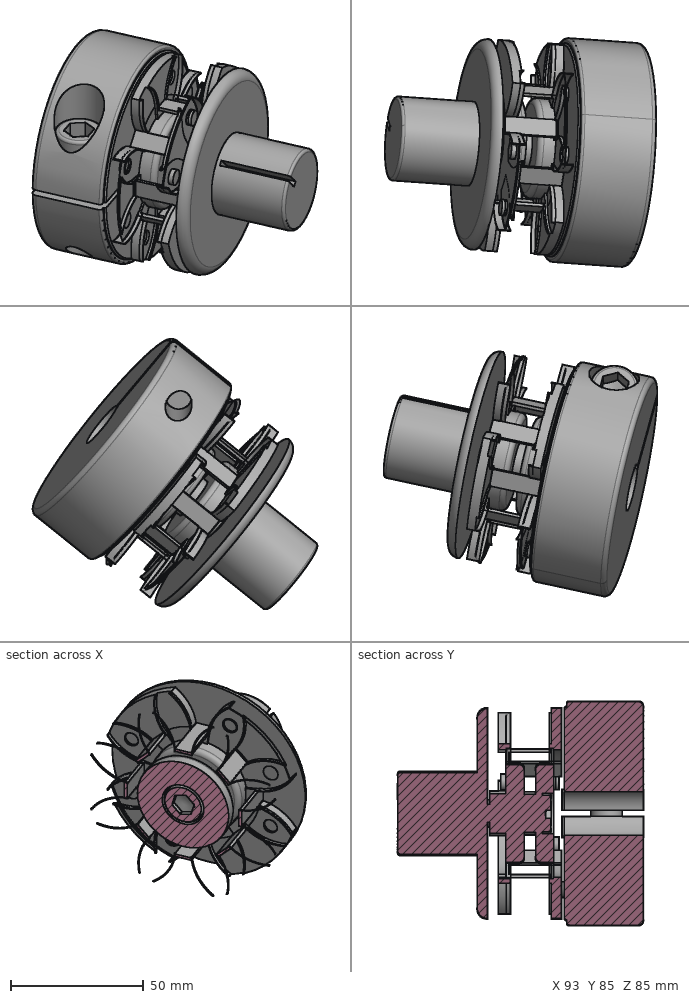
import cadquery as cq
import math


body_radius = 42.5
body_end = 29.1
front_round = 1.95
rear_round = 1.0
step_radius = 40.55
step_end = 30.0
step_chamfer = 0.65
collar_diameter = 18.4
collar_end = 30.9
bore_diameter = 18.0
slit_width = 2.3

clamp_x = 13.95
clamp_y = -28.8
clamp_head_diameter = 18.0
clamp_head_height = 12.0
clamp_head_top = 23.25
clamp_head_round = 1.2
clamp_pocket_diameter = 19.0
clamp_shank_diameter = 12.0
clamp_shank_depth = 12.1
clamp_thread_diameter = 10.0
clamp_hex = 10.0
clamp_hex_depth = 6.0

mid_x = 43.0
disc_radius = 40.0
jaw_start = 31.0
sheet_start = 33.85
sheet_end = 35.0
pad_end = 35.7
rim_bevel = 1.8
fan_half_angle = 27.4
fan_side_radius = 20.0
pillar_radius = 24.4
pillar_width = 6.8
pillar_thickness = 1.3
pillar_end = 50.7
stage_turn = -45
rivet_diameter = 6.0
rivet_circle = 31.2
rivet_start = 31.9
rivet_angle = 22.5
pad_hole_angle = 67.5
pad_hole_diameter = 5.6
pad_floor = 34.1
lip_thickness = 0.5
pad_hole_depth = 0.9
pad_inner_radius = 23.25
fan_pocket_depth = 0.65
fan_pocket_radius = 38.6

spool_radius = 19.0
spool_end = 40.9
spool_round = 2.1
sleeve_diameter = 16.5
socket_diameter = 17.0
socket_depth = 4.3

centre_head_diameter = 16.0
centre_head_round = 1.1
centre_hex = 8.0
centre_hex_depth = 1.9
centre_hex_turn = 15

boss_diameter = 17.0
boss_end = 58.2
neck_diameter = 10.4
flange_start = 59.0
flange_end = 63.0
flange_round = 3.9
plug_diameter = 32.0
plug_end = 93.0
plug_round = 1.1
plug_slot_start = 64.6
plug_slot_width = 2.0
plug_slot_floor_radius = 8.5

corner_far = (pillar_radius + pillar_width / 2) / math.sqrt(2)
corner_near = (pillar_radius - pillar_width / 2) / math.sqrt(2)


def x_cylinder(diameter, start, end):
    return cq.Workplane("YZ", origin=(start, 0, 0)).circle(diameter / 2).extrude(end - start)


def turn(shape, angle):
    return shape.rotate((0, 0, 0), (1, 0, 0), angle)


def polar(radius, angle):
    return radius * math.cos(math.radians(angle)), radius * math.sin(math.radians(angle))


def arc_middle(start, end, radius):
    """Midpoint of an arc that bulges to the right of the direction from start to end."""
    dx, dy = end[0] - start[0], end[1] - start[1]
    chord = math.hypot(dx, dy)
    sag = radius - math.sqrt(radius ** 2 - chord ** 2 / 4)
    return (start[0] + end[0]) / 2 + sag * dy / chord, (start[1] + end[1]) / 2 - sag * dx / chord


def hex_socket(across_flats, depth):
    """Hexagonal recess going down from z = 0, ending in a cone."""
    corner_radius = across_flats / math.sqrt(3)
    hexagon = cq.Workplane("XY").polygon(6, 2 * corner_radius).extrude(-2 * depth)
    drill = (
        cq.Workplane("XZ")
        .polyline([(0, 0), (corner_radius, 0), (corner_radius, -depth), (0, -1.5 * depth)])
        .close()
        .revolve(360, (0, 0, 0), (0, 1, 0))
    )
    return hexagon.intersect(drill)


def make_clamp_hub():
    hub = x_cylinder(2 * body_radius, 0, body_end)
    hub = hub.faces("<X").edges().fillet(front_round)
    hub = hub.faces(">X").edges().fillet(rear_round)
    step = x_cylinder(2 * step_radius, body_end, step_end).faces(">X").edges().chamfer(step_chamfer)
    hub = hub.union(step).union(x_cylinder(collar_diameter, step_end, collar_end))
    hub = hub.cut(x_cylinder(bore_diameter, 0, collar_end))
    slit = cq.Workplane("XY").box(collar_end, body_radius, slit_width, centered=(False, False, True))
    hub = hub.cut(slit.translate((0, -body_radius, 0)))

    axis = cq.Workplane("XY", origin=(clamp_x, clamp_y, 0))
    seat = clamp_head_top - clamp_head_height
    pocket = axis.workplane(offset=seat).circle(clamp_pocket_diameter / 2).extrude(body_radius)
    thread = axis.circle(clamp_thread_diameter / 2).extrude(-body_radius)
    shank_length = seat + clamp_shank_depth
    shank = axis.workplane(offset=seat).circle(clamp_shank_diameter / 2).extrude(-shank_length)
    head = axis.workplane(offset=seat).circle(clamp_head_diameter / 2).extrude(clamp_head_height)
    head = head.faces(">Z").edges().fillet(clamp_head_round)
    socket = hex_socket(clamp_hex, clamp_hex_depth).rotate((0, 0, 0), (0, 0, 1), 30)
    head = head.cut(socket.translate((clamp_x, clamp_y, clamp_head_top)))
    return hub.cut(pocket).cut(thread).union(shank).union(head)


def make_fan(start, end, inset=0.0):
    """Petal towards +Z with bulging sides and a round rim, reaching in to the axis.

    An inset moves the sides inwards and the rim outwards by the same amount.
    """
    rim_side, rim_height = polar(disc_radius, 90 - fan_half_angle)
    inner = (corner_near - inset, corner_far)
    outer = (rim_side - inset, rim_height + inset)
    bulge = arc_middle(inner, outer, fan_side_radius)
    return (
        cq.Workplane("YZ", origin=(start, 0, 0))
        .lineTo(*inner)
        .threePointArc(bulge, outer)
        .threePointArc((0, disc_radius + inset), (-outer[0], outer[1]))
        .threePointArc((-bulge[0], bulge[1]), (-inner[0], inner[1]))
        .close()
        .extrude(end - start)
    )


def make_cross(start, end, inset=0.0):
    """Four fans at right angles."""
    cross = make_fan(start, end, inset)
    for angle in (90, 180, 270):
        cross = cross.union(turn(make_fan(start, end, inset), angle))
    return cross


def make_side_skirts():
    """Thin curved walls that run back from both sides of the fan at +Z."""
    skirts = make_fan(jaw_start, sheet_end).cut(make_fan(jaw_start, sheet_end, lip_thickness))
    return skirts.cut(x_cylinder(2 * pillar_radius, jaw_start, sheet_end))


def make_fan_pockets():
    """Recesses in the inner faces of the two thin fans at +Y and -Y, leaving a lip along the rim."""
    pocket = make_fan(sheet_end - fan_pocket_depth, sheet_end)
    pocket = pocket.intersect(x_cylinder(2 * fan_pocket_radius, sheet_start, sheet_end))
    pocket = pocket.cut(x_cylinder(2 * pillar_radius, sheet_start, sheet_end))
    return turn(pocket, 90).union(turn(pocket, -90))


def make_pads(start, end, inner_radius, inset=0.0):
    """Lenses outside the inner radius, where the fans overlap a copy turned by 45 degrees."""
    cross = make_cross(start, end, inset)
    return cross.intersect(turn(cross, 45)).cut(x_cylinder(2 * inner_radius, start, end))


def make_stage():
    sheet = make_cross(sheet_start, sheet_end)
    pads = make_pads(sheet_start, pad_end, pad_inner_radius)
    sheet = sheet.cut(make_fan_pockets()).union(pads)
    sheet = sheet.union(x_cylinder(2 * pillar_radius, sheet_start, sheet_end))
    rim_limit = x_cylinder(2 * disc_radius, sheet_start, pad_end)
    bevel_height = sheet_end - sheet_start
    rim_limit = rim_limit.faces("<X").chamfer(bevel_height, rim_bevel)
    stage = sheet.intersect(rim_limit)

    jaws = make_fan(jaw_start, sheet_end)
    jaws = jaws.union(turn(jaws, 180)).cut(x_cylinder(2 * pillar_radius, jaw_start, sheet_end))
    stage = stage.union(jaws)

    for angle in (90, -90):
        stage = stage.union(turn(make_side_skirts(), angle))

    stage = stage.cut(make_pads(pad_floor, pad_end, spool_radius, lip_thickness))

    pillar = cq.Workplane("XY").box(
        pillar_end - jaw_start, pillar_width, pillar_thickness, centered=(False, True, False)
    ).translate((jaw_start, 0, pillar_radius - pillar_thickness))
    for index in range(4):
        stage = stage.union(turn(pillar, 45 + 90 * index))

    for angle in (rivet_angle, -rivet_angle, 180 - rivet_angle, 180 + rivet_angle):
        y, z = polar(rivet_circle, angle)
        stage = stage.union(x_cylinder(rivet_diameter, rivet_start, pad_floor).translate((0, y, z)))

    for index in range(4):
        y, z = polar(rivet_circle, pad_hole_angle + 90 * index)
        hole = x_cylinder(pad_hole_diameter, pad_floor - pad_hole_depth, pad_end)
        stage = stage.cut(hole.translate((0, y, z)))
    return stage


def make_standoffs():
    """Two round standoffs that tie the clamp hub to the jaws of the first stage."""
    pin = x_cylinder(rivet_diameter, step_end, jaw_start)
    y, z = polar(rivet_circle, 90 - rivet_angle)
    return pin.translate((0, y, z)).union(pin.translate((0, -y, -z)))


def make_spool():
    half = x_cylinder(2 * spool_radius, sheet_end, spool_end).faces(">X").edges().fillet(spool_round)
    spool = half.union(half.mirror("YZ", (mid_x, 0, 0)))
    return spool.union(x_cylinder(sleeve_diameter, spool_end, 2 * mid_x - spool_end))


def make_centre_screw():
    head = x_cylinder(centre_head_diameter, sheet_end, sheet_start + socket_depth)
    head = head.faces("<X").edges().fillet(centre_head_round)
    socket = hex_socket(centre_hex, centre_hex_depth).rotate((0, 0, 0), (0, 1, 0), -90)
    socket = turn(socket, centre_hex_turn)
    return head.cut(socket.translate((sheet_end, 0, 0)))


def make_expanding_hub():
    stage_back = 2 * mid_x - sheet_end
    hub = x_cylinder(boss_diameter, stage_back, boss_end)
    hub = hub.union(x_cylinder(neck_diameter, boss_end, flange_start))
    flange = x_cylinder(2 * disc_radius, flange_start, flange_end)
    flange = flange.faces(">X").edges().fillet(flange_round)
    plug = x_cylinder(plug_diameter, flange_end, plug_end).faces(">X").edges().fillet(plug_round)
    slot = cq.Workplane("XY").box(
        plug_end - plug_slot_start, plug_slot_width, plug_diameter, centered=(False, True, False)
    ).translate((plug_slot_start, 0, plug_slot_floor_radius))
    return hub.union(flange).union(plug).cut(turn(slot, 45))


first_stage = make_stage()
second_stage = turn(make_stage().mirror("YZ", (mid_x, 0, 0)), stage_turn)
socket_bore = x_cylinder(socket_diameter, sheet_start, sheet_start + socket_depth)

result = first_stage.union(second_stage).union(make_spool()).cut(socket_bore)
for piece in (make_clamp_hub(), make_standoffs(), make_centre_screw(), make_expanding_hub()):
    result = result.union(piece)